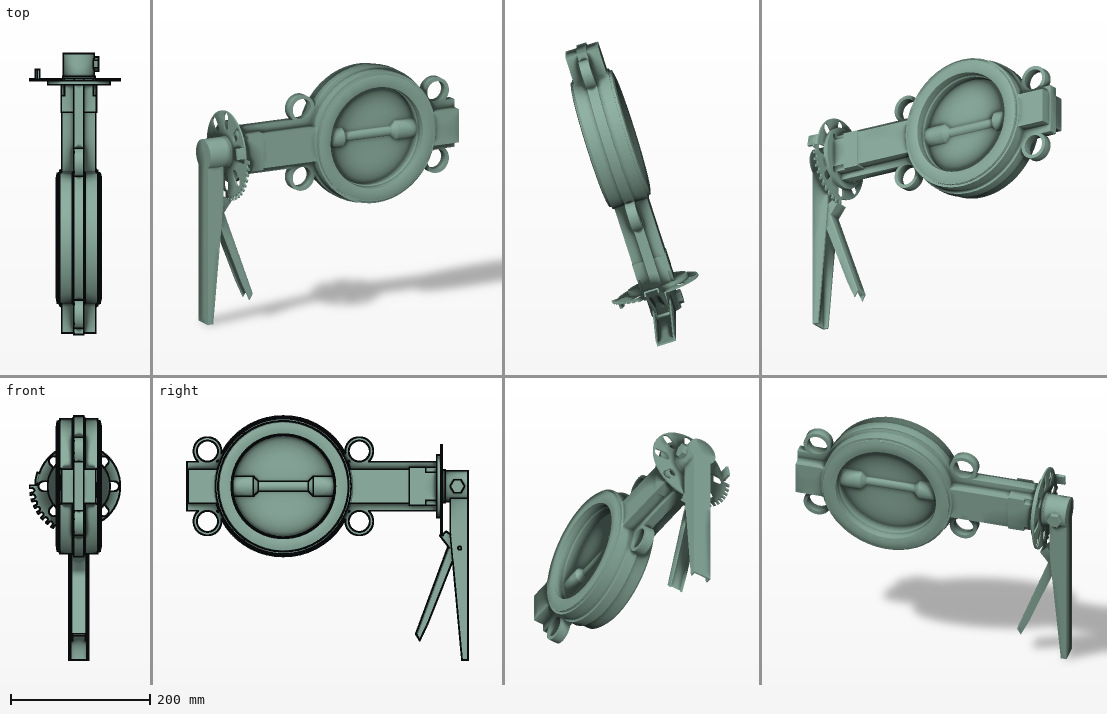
import cadquery as cq
import math


RIB_RADIUS = 101.0
RIB_HALF_WIDTH = 7.3
CHEEK_RADIUS = 97.5
CHEEK_HALF_WIDTH = 27.0
CHEEK_FILLET = 2.0
RIB_HALF_HEIGHT = 35.35
RIB_REAR = -138.5
NECK_HALF_WIDTH = 24.5
NECK_HALF_HEIGHT = 24.5
NECK_REAR = -136.5
HEAD_HALF_WIDTH = 25.5
HEAD_HALF_HEIGHT = 27.0
HEAD_REAR = 181.0
FLANGE_REAR = 220.0
FLANGE_RADIUS = 45.03
FLANGE_THICKNESS = 6.0
LUG_Y = 109.0
LUG_Z = 50.5
LUG_RADIUS = 20.0
LUG_BORE = 30.0
SCREW_POCKET_DIAMETER = 10.0
SCREW_POCKET_X = 25.5
SCREW_POCKET_Z = 25.0
SCREW_POCKET_DEPTH = 15.5
NECK_FILLET = 2.0

SEAT_OUTER_RADIUS = 82.8
SEAT_LIP_RADIUS = 94.0
SEAT_LIP_STEP_RADIUS = 93.5
SEAT_LIP_STEP_X = 29.0
SEAT_FACE_RADIUS = 92.5
SEAT_FACE_X = 30.5
SEAT_BULGE_X = 32.5
SEAT_MOUTH_RADIUS = 74.9
SEAT_BORE_RADIUS = 73.0
SEAT_BORE_HALF_WIDTH = 15.5

DISC_HALF_THICKNESS = 3.0
DISC_BOSS_RADIUS = 15.0
DISC_BAR_RADIUS = 7.5
DISC_BOSS_INNER_Y = 43.2
DISC_BAR_END_Y = 36.0

PLATE_REAR = FLANGE_REAR + FLANGE_THICKNESS
PLATE_THICKNESS = 2.5
PLATE_FRONT = PLATE_REAR + PLATE_THICKNESS
PLATE_RADIUS = 59.8
TOOTH_RADIUS = 70.5
NOTCH_WIDTH = 6.0
NOTCH_ROOT_RADIUS = 64.2
NOTCH_COUNT = 11
NOTCH_PITCH = 8.0
FIRST_NOTCH_ANGLE = 185.0
SECTOR_MARGIN = 6.4
PLATE_SLOT_COUNT = 8
PLATE_SLOT_WIDTH = 13.7
PLATE_SLOT_OUTER_RADIUS = 57.7
PLATE_SLOT_INNER_RADIUS = 32.5
TAB_INNER_RADIUS = 59.0
TAB_OUTER_RADIUS = 63.0
TAB_START_ANGLE = 161.5
TAB_END_ANGLE = 176.5
TAB_FRONT = 242.3
TAB_BEND_RADIUS = 3.2

HANDLE_FRONT = 265.5
HUB_RADIUS = 22.4
HUB_REAR = 232.2
COLLAR_RADIUS = 23.5
CHANNEL_HALF_WIDTH = 14.0
CHANNEL_WALL = 2.5
CHANNEL_REAR = 239.5
CHANNEL_TAPER_TOP = -67.5
CHANNEL_END_REAR = 256.5
CHANNEL_BOTTOM = -249.5
BOLT_ACROSS_FLATS = 18.0
BOLT_Y = 250.0
BOLT_END_X = 28.3

TRIGGER_HALF_WIDTH = 11.0
TRIGGER_WALL = 2.0
TRIGGER_CORNER_RADIUS = 1.8
TRIGGER_WEB_OFFSET = 3.0
PIN_DIAMETER = 5.0
PIN_Y = 253.0
PIN_Z = -89.0
TRIGGER_TIP = (224.5, -70.5)
TRIGGER_KINK = (236.5, -86.5)
TRIGGER_END = (190.2, -212.0)
TRIGGER_BACK = [(196.0, -221.7), (208.0, -196.3), (243.5, -106.5), (256.0, -94.5), (256.0, -83.5)]
TRIGGER_TOP = [(239.0, -68.5), (234.2, -64.5), (229.5, -68.5), (229.5, TRIGGER_TIP[1])]



def box_between(x0, x1, y0, y1, z0, z1):
    return cq.Workplane("XY").box(x1 - x0, y1 - y0, z1 - z0, centered=False).translate((x0, y0, z0))


def bar_along_y(half_width, half_height, y0, y1):
    return box_between(-half_width, half_width, y0, y1, -half_height, half_height)


def cylinder_along_y(radius, y0, y1, x=0.0, z=0.0):
    return cq.Workplane("XZ", origin=(0, y1, 0)).center(x, z).circle(radius).extrude(y1 - y0)


def cylinder_along_x(radius, half_length, y=0.0, z=0.0):
    return cq.Workplane("YZ").center(y, z).circle(radius).extrude(half_length, both=True)


def polar(radius, degrees):
    return (radius * math.cos(math.radians(degrees)), radius * math.sin(math.radians(degrees)))


def ring_sector(inner, outer, start, end, y0, y1):
    """Ring sector around the stem axis, between two angles in degrees."""
    middle = (start + end) / 2
    outline = (
        cq.Workplane("XZ", origin=(0, y1, 0))
        .moveTo(*polar(inner, start))
        .lineTo(*polar(outer, start))
        .threePointArc(polar(outer, middle), polar(outer, end))
        .lineTo(*polar(inner, end))
        .threePointArc(polar(inner, middle), polar(inner, start))
        .close()
    )
    return outline.extrude(y1 - y0)



def seat_envelope():
    """Solid outer shape of the liner, also the hollow that the housing leaves for it."""
    half = (
        cq.Workplane("XY")
        .moveTo(0, 0)
        .lineTo(0, SEAT_OUTER_RADIUS)
        .lineTo(CHEEK_HALF_WIDTH, SEAT_OUTER_RADIUS)
        .lineTo(CHEEK_HALF_WIDTH, SEAT_LIP_RADIUS)
        .lineTo(SEAT_LIP_STEP_X, SEAT_LIP_RADIUS)
        .lineTo(SEAT_LIP_STEP_X, SEAT_LIP_STEP_RADIUS)
        .lineTo(SEAT_FACE_X, SEAT_LIP_STEP_RADIUS)
        .lineTo(SEAT_FACE_X, SEAT_FACE_RADIUS)
        .threePointArc(
            (SEAT_BULGE_X, (SEAT_FACE_RADIUS + SEAT_MOUTH_RADIUS) / 2),
            (SEAT_FACE_X, SEAT_MOUTH_RADIUS),
        )
        .lineTo(SEAT_FACE_X, 0)
        .close()
        .revolve(360, (0, 0, 0), (1, 0, 0))
    )
    return half.union(half.mirror("YZ"))


def make_seat():
    """Liner whose bore opens at 45 degrees into a slightly wider mouth on each side."""
    step = SEAT_MOUTH_RADIUS - SEAT_BORE_RADIUS
    half_bore = (
        cq.Workplane("XY")
        .moveTo(0, 0)
        .lineTo(0, SEAT_BORE_RADIUS)
        .lineTo(SEAT_BORE_HALF_WIDTH, SEAT_BORE_RADIUS)
        .lineTo(SEAT_BORE_HALF_WIDTH + step, SEAT_MOUTH_RADIUS)
        .lineTo(SEAT_BULGE_X, SEAT_MOUTH_RADIUS)
        .lineTo(SEAT_BULGE_X, 0)
        .close()
        .revolve(360, (0, 0, 0), (1, 0, 0))
    )
    return seat_envelope().cut(half_bore).cut(half_bore.mirror("YZ"))



def housing_ring():
    """Central rib ring between two cheeks, with a fillet where each cheek meets the rib."""
    fillet_end_x = RIB_HALF_WIDTH + CHEEK_FILLET
    fillet_end_radius = CHEEK_RADIUS + CHEEK_FILLET
    inset = CHEEK_FILLET * (1 - math.sqrt(0.5))
    half = (
        cq.Workplane("XY")
        .moveTo(0, 0)
        .lineTo(0, RIB_RADIUS)
        .lineTo(RIB_HALF_WIDTH, RIB_RADIUS)
        .lineTo(RIB_HALF_WIDTH, fillet_end_radius)
        .threePointArc((RIB_HALF_WIDTH + inset, CHEEK_RADIUS + inset), (fillet_end_x, CHEEK_RADIUS))
        .lineTo(CHEEK_HALF_WIDTH, CHEEK_RADIUS)
        .lineTo(CHEEK_HALF_WIDTH, 0)
        .close()
        .revolve(360, (0, 0, 0), (1, 0, 0))
    )
    return half.union(half.mirror("YZ"))


def cheeks_with_neck():
    """Round cheek body crossed by the neck, with a fillet where the neck meets the cheeks."""
    body = cylinder_along_x(CHEEK_RADIUS, CHEEK_HALF_WIDTH)
    body = body.union(bar_along_y(NECK_HALF_WIDTH, NECK_HALF_HEIGHT, NECK_REAR, FLANGE_REAR))
    corner_y = math.sqrt(CHEEK_RADIUS**2 - NECK_HALF_HEIGHT**2)
    margin = 0.2
    for side in (-1, 1):
        joint = cq.selectors.BoxSelector(
            (-NECK_HALF_WIDTH - margin, side * (corner_y - margin), -NECK_HALF_HEIGHT - margin),
            (NECK_HALF_WIDTH + margin, side * (CHEEK_RADIUS - margin), NECK_HALF_HEIGHT + margin),
        )
        body = body.edges(joint).fillet(NECK_FILLET)
    return body


def make_housing():
    housing = cheeks_with_neck().union(housing_ring())
    housing = housing.union(bar_along_y(RIB_HALF_WIDTH, RIB_HALF_HEIGHT, RIB_REAR, FLANGE_REAR))
    housing = housing.union(bar_along_y(HEAD_HALF_WIDTH, HEAD_HALF_HEIGHT, HEAD_REAR, FLANGE_REAR))
    housing = housing.union(cylinder_along_y(FLANGE_RADIUS, FLANGE_REAR, PLATE_REAR))

    lug_centres = [(y, z) for y in (-LUG_Y, LUG_Y) for z in (-LUG_Z, LUG_Z)]
    for y, z in lug_centres:
        housing = housing.union(cylinder_along_x(LUG_RADIUS, RIB_HALF_WIDTH, y, z))
    for y, z in lug_centres:
        housing = housing.cut(cylinder_along_x(LUG_BORE / 2, RIB_HALF_WIDTH, y, z))

    for x in (-SCREW_POCKET_X, SCREW_POCKET_X):
        for z in (-SCREW_POCKET_Z, SCREW_POCKET_Z):
            pocket_rear = FLANGE_REAR - SCREW_POCKET_DEPTH
            screw_hole = cylinder_along_y(SCREW_POCKET_DIAMETER / 2, pocket_rear, PLATE_REAR, x, z)
            housing = housing.cut(screw_hole)
    return housing.cut(seat_envelope())



def make_disc():
    """Round blade with a stem boss at each end, necked down to a thin bar across the middle."""
    half_stem = (
        cq.Workplane("XY")
        .moveTo(0, 0)
        .lineTo(DISC_BAR_RADIUS, 0)
        .lineTo(DISC_BAR_RADIUS, DISC_BAR_END_Y)
        .lineTo(DISC_BOSS_RADIUS, DISC_BOSS_INNER_Y)
        .lineTo(DISC_BOSS_RADIUS, SEAT_BORE_RADIUS)
        .lineTo(0, SEAT_BORE_RADIUS)
        .close()
        .revolve(360, (0, 0, 0), (0, 1, 0))
    )
    stem = half_stem.union(half_stem.mirror("XZ"))
    stem = stem.intersect(cylinder_along_x(SEAT_BORE_RADIUS, DISC_BOSS_RADIUS))
    return stem.union(cylinder_along_x(SEAT_BORE_RADIUS, DISC_HALF_THICKNESS))



def radial_slot(inner, outer, width, angle):
    """Round-ended slot through the plate, pointing away from the stem axis."""
    slot = cq.Workplane("XZ", origin=(0, PLATE_FRONT, 0)).center((inner + outer) / 2, 0)
    slot = slot.slot2D(outer - inner, width).extrude(PLATE_THICKNESS)
    return slot.rotate((0, 0, 0), (0, -1, 0), angle)


def make_notch_plate():
    plate = cylinder_along_y(PLATE_RADIUS, PLATE_REAR, PLATE_FRONT)
    last_notch_angle = FIRST_NOTCH_ANGLE + (NOTCH_COUNT - 1) * NOTCH_PITCH
    sector = ring_sector(
        PLATE_RADIUS / 2,
        TOOTH_RADIUS,
        FIRST_NOTCH_ANGLE - SECTOR_MARGIN,
        last_notch_angle + SECTOR_MARGIN,
        PLATE_REAR,
        PLATE_FRONT,
    )
    plate = plate.union(sector)

    notch_end_radius = 2 * TOOTH_RADIUS - NOTCH_ROOT_RADIUS
    for i in range(NOTCH_COUNT):
        angle = FIRST_NOTCH_ANGLE + i * NOTCH_PITCH
        plate = plate.cut(radial_slot(NOTCH_ROOT_RADIUS, notch_end_radius, NOTCH_WIDTH, angle))

    for i in range(PLATE_SLOT_COUNT):
        angle = i * 360 / PLATE_SLOT_COUNT
        slot = radial_slot(PLATE_SLOT_INNER_RADIUS, PLATE_SLOT_OUTER_RADIUS, PLATE_SLOT_WIDTH, angle)
        plate = plate.cut(slot)

    tab = ring_sector(
        TAB_INNER_RADIUS, TAB_OUTER_RADIUS, TAB_START_ANGLE, TAB_END_ANGLE, PLATE_REAR, TAB_FRONT
    )
    middle_x, middle_z = polar(TAB_OUTER_RADIUS, (TAB_START_ANGLE + TAB_END_ANGLE) / 2)
    bend_edge = cq.selectors.NearestToPointSelector((middle_x, PLATE_REAR, middle_z))
    tab = tab.edges(bend_edge).fillet(TAB_BEND_RADIUS)
    return plate.union(tab)



def make_handle():
    """Hub with its clamping bolt, and a tapered channel lever that is open to the rear."""
    lever_outline = [
        (HANDLE_FRONT, 0),
        (CHANNEL_REAR, 0),
        (CHANNEL_REAR, CHANNEL_TAPER_TOP),
        (CHANNEL_END_REAR, CHANNEL_BOTTOM),
        (HANDLE_FRONT, CHANNEL_BOTTOM),
    ]
    lever = cq.Workplane("YZ").polyline(lever_outline).close().extrude(CHANNEL_HALF_WIDTH, both=True)
    inner_half_width = CHANNEL_HALF_WIDTH - CHANNEL_WALL
    lever = lever.cut(
        box_between(
            -inner_half_width,
            inner_half_width,
            CHANNEL_REAR,
            HANDLE_FRONT - CHANNEL_WALL,
            CHANNEL_BOTTOM,
            0,
        )
    )
    lever = lever.cut(cylinder_along_x(PIN_DIAMETER / 2, CHANNEL_HALF_WIDTH, PIN_Y, PIN_Z))

    across_corners = BOLT_ACROSS_FLATS / math.cos(math.pi / 6)
    bolt = cq.Workplane("YZ").center(BOLT_Y, 0).polygon(6, across_corners).extrude(BOLT_END_X)
    hub = cylinder_along_y(HUB_RADIUS, HUB_REAR, HANDLE_FRONT)
    collar = cylinder_along_y(COLLAR_RADIUS, PLATE_FRONT, HUB_REAR)
    return hub.union(collar).union(lever).union(bolt)



def make_trigger():
    """Bent channel lever that is open to the front, with the pivot pin that joins it to the handle."""
    outline = [TRIGGER_TIP, TRIGGER_KINK, TRIGGER_END] + TRIGGER_BACK + TRIGGER_TOP
    trigger = cq.Workplane("YZ").polyline(outline).close().extrude(TRIGGER_HALF_WIDTH, both=True)

    web_edge_y = (TRIGGER_KINK[0] + TRIGGER_END[0]) / 2
    web_edge_z = (TRIGGER_KINK[1] + TRIGGER_END[1]) / 2
    for x in (-TRIGGER_HALF_WIDTH, TRIGGER_HALF_WIDTH):
        web_edge = cq.selectors.NearestToPointSelector((x, web_edge_y, web_edge_z))
        trigger = trigger.edges(web_edge).fillet(TRIGGER_CORNER_RADIUS)

    slope = (TRIGGER_END[0] - TRIGGER_KINK[0]) / (TRIGGER_END[1] - TRIGGER_KINK[1])
    cavity_top = TRIGGER_TIP[1] - TRIGGER_WALL
    cavity_bottom = TRIGGER_BACK[0][1]
    inner_kink_y = TRIGGER_KINK[0] + TRIGGER_WEB_OFFSET
    cavity_outline = [
        (TRIGGER_TIP[0] + 2 * TRIGGER_WEB_OFFSET, cavity_top),
        (inner_kink_y, TRIGGER_KINK[1]),
        (inner_kink_y + slope * (cavity_bottom - TRIGGER_KINK[1]), cavity_bottom),
        (HANDLE_FRONT, cavity_bottom),
        (HANDLE_FRONT, cavity_top),
    ]
    cavity = cq.Workplane("YZ").polyline(cavity_outline).close()
    trigger = trigger.cut(cavity.extrude(TRIGGER_HALF_WIDTH - TRIGGER_WALL, both=True))
    return trigger.union(cylinder_along_x(PIN_DIAMETER / 2, CHANNEL_HALF_WIDTH, PIN_Y, PIN_Z))


housing = make_housing()
seat = make_seat()
disc = make_disc()
notch_plate = make_notch_plate()
handle = make_handle()
trigger = make_trigger()

result = cq.Compound.makeCompound(
    [
        housing.solids().val(),
        seat.solids().val(),
        disc.solids().val(),
        notch_plate.solids().val(),
        handle.solids().val(),
        trigger.solids().val(),
    ]
)